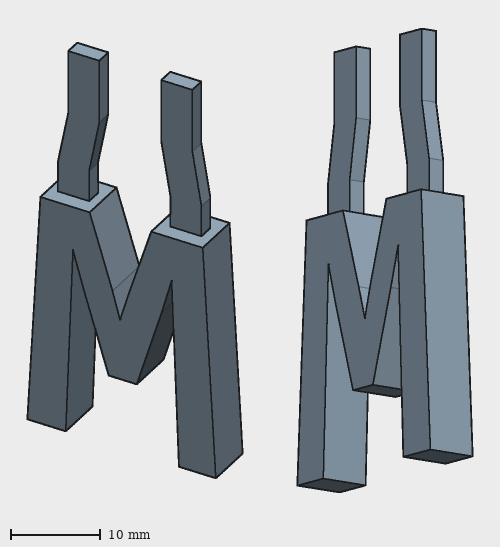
import cadquery as cq

height = 49.0
foot_span = 24.35
housing_depth = 6.0
housing_height = 30.0

left_foot_inner_x = -7.2
right_foot_inner_x = 7.4
left_crotch_x = -6.25
right_crotch_x = 6.45
crotch_height = 24.3
middle_left_x = -1.65
middle_right_x = 1.95
middle_height = 9.15
left_top_outer_x = -10.5
left_top_inner_x = -4.1
right_top_inner_x = 3.8
right_top_outer_x = 10.5
valley_x = -0.2
valley_height = 17.0
left_valley_bend_x = -1.2
left_valley_bend_height = 20.6
right_valley_bend_x = 0.95
right_valley_bend_height = 20.8
left_underside_bend_x = -4.95
right_underside_bend_x = 5.2
underside_bend_height = 19.75

pin_width = 4.0
pin_thickness = 2.0
left_pin_base_x = -7.35
left_pin_tip_x = -6.05
right_pin_base_x = 7.15
right_pin_tip_x = 6.0
step_start_height = 34.0
step_end_height = 40.85


def extrude_centred(outline, depth):
    """Extrude an outline of (X, Z) points evenly to both sides of Y = 0."""
    return cq.Workplane("XZ").polyline(outline).close().extrude(depth / 2, both=True)


def make_housing():
    """Thick M with splayed legs and a blunt middle point; both sides of its arms bend slightly."""
    outline = [
        (-foot_span / 2, 0),
        (left_foot_inner_x, 0),
        (left_crotch_x, crotch_height),
        (left_underside_bend_x, underside_bend_height),
        (middle_left_x, middle_height),
        (middle_right_x, middle_height),
        (right_underside_bend_x, underside_bend_height),
        (right_crotch_x, crotch_height),
        (right_foot_inner_x, 0),
        (foot_span / 2, 0),
        (right_top_outer_x, housing_height),
        (right_top_inner_x, housing_height),
        (right_valley_bend_x, right_valley_bend_height),
        (valley_x, valley_height),
        (left_valley_bend_x, left_valley_bend_height),
        (left_top_inner_x, housing_height),
        (left_top_outer_x, housing_height),
    ]
    return extrude_centred(outline, housing_depth)


def make_pin(base_x, tip_x):
    """Flat pin of constant width whose centre line steps from base_x to tip_x."""
    centre_line = [
        (base_x, housing_height),
        (base_x, step_start_height),
        (tip_x, step_end_height),
        (tip_x, height),
    ]
    left_edge = [(x - pin_width / 2, z) for x, z in centre_line]
    right_edge = [(x + pin_width / 2, z) for x, z in centre_line]
    return extrude_centred(left_edge + right_edge[::-1], pin_thickness)


housing = make_housing()

pin_positions = [
    (left_pin_base_x, left_pin_tip_x),
    (right_pin_base_x, right_pin_tip_x),
]
pins = [make_pin(base_x, tip_x).val() for base_x, tip_x in pin_positions]

result = cq.Compound.makeCompound([housing.val(), *pins])